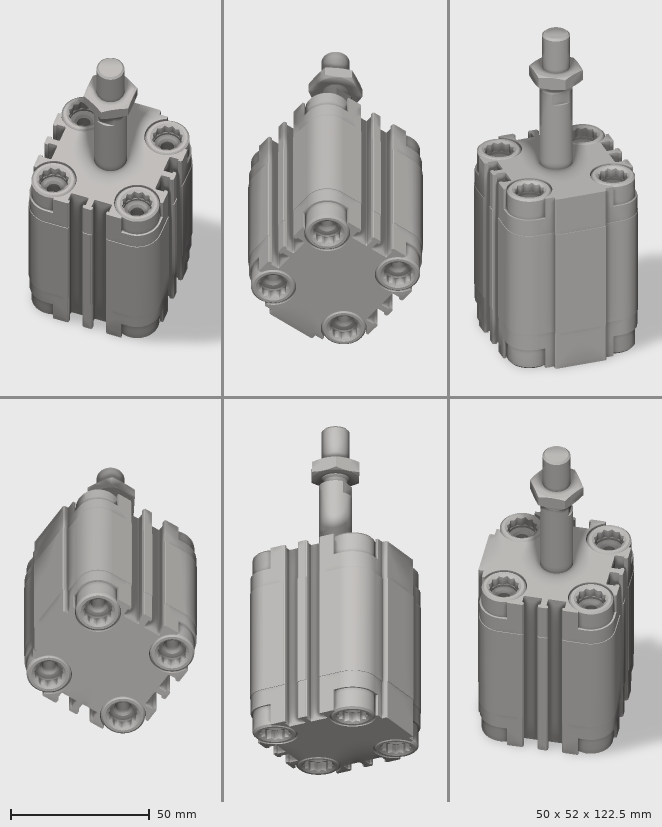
import cadquery as cq
import math

body_width = 50.0
half_width = body_width / 2
overall_depth = 52.0
housing_height = 69.6
cap_height = 14.5
cap_inset = 0.2
middle_height = housing_height - 2 * cap_height
rod_seat = housing_height - cap_height

pad_half_width = 9.8
pad_face = overall_depth - half_width
pad_chamfer = 0.5

slot_rib_half = 1.1
slot_outer_wall = 7.8
mouth_inner = 1.8
mouth_outer = 7.1
lip_depth = 1.7
slot_depth = 5.1
mouth_rounding = 0.4
slot_floor_rounding = 0.4

screw_offset = 15.99
corner_radius = half_width - screw_offset
head_diameter = 16.0
head_chamfer = 0.7
seat_diameter = 16.5
notch_height = 8.1
notch_reach = 12.0
socket_points = 12
socket_outer_diameter = 11.3
socket_inner_diameter = 10.0
socket_mouth_diameter = 12.5
socket_mouth_depth = 0.9
socket_depth = 4.0
socket_floor_depth = 5.0
bolt_hole_diameter = 4.9
bolt_hole_mouth_diameter = 6.6

rod_top = 122.5
rod_diameter = 12.0
shoulder = 100.5
flat_distance = 10.0
flat_height = 4.5
neck_diameter = 8.7
thread_diameter = 10.0
thread_base = 103.3
thread_chamfer = 0.7

nut_sides = 6
nut_base = 103.6
nut_height = 5.0
nut_across_flats = 17.0
nut_face_diameter = 16.7
nut_chamfer_angle = 20.0

screw_centers = [
    (x, y) for x in (-screw_offset, screw_offset) for y in (-screw_offset, screw_offset)
]


def cylinder(diameter, bottom, top):
    return cq.Workplane("XY").workplane(offset=bottom).circle(diameter / 2).extrude(top - bottom)


def cone(bottom_diameter, top_diameter, bottom, top):
    return cq.Workplane(
        cq.Solid.makeCone(bottom_diameter / 2, top_diameter / 2, top - bottom, cq.Vector(0, 0, bottom))
    )


def slot_pair(inset, height):
    """Two T-slots in the -Y side, their mouths rounded into a face set back by the inset."""
    face = -half_width + inset
    beyond = face - slot_depth
    mouth_wall = face + mouth_rounding
    lip_back = -half_width + lip_depth
    floor = -half_width + slot_depth
    slot = (
        cq.Workplane("XY")
        .moveTo(mouth_inner - mouth_rounding, beyond)
        .lineTo(mouth_outer + mouth_rounding, beyond)
        .lineTo(mouth_outer + mouth_rounding, face)
        .radiusArc((mouth_outer, mouth_wall), -mouth_rounding)
        .lineTo(mouth_outer, lip_back)
        .lineTo(slot_outer_wall, lip_back)
        .lineTo(slot_outer_wall, floor)
        .lineTo(slot_rib_half, floor)
        .lineTo(slot_rib_half, lip_back)
        .lineTo(mouth_inner, lip_back)
        .lineTo(mouth_inner, mouth_wall)
        .radiusArc((mouth_inner - mouth_rounding, face), -mouth_rounding)
        .close()
        .extrude(height)
        .faces(">Y").edges("|Z").fillet(slot_floor_rounding)
    )
    return slot.union(slot.mirror("YZ"))


def profile_block(inset, height):
    """Length of housing standing on the XY plane, its outer walls set back by the inset."""
    width = body_width - 2 * inset
    block = (
        cq.Workplane("XY").rect(width, width).extrude(height)
        .edges("|Z").fillet(corner_radius - inset)
    )
    pad_top = pad_face - inset
    pad = (
        cq.Workplane("XY")
        .moveTo(-pad_half_width, 0)
        .lineTo(pad_half_width, 0)
        .lineTo(pad_half_width, pad_top - pad_chamfer)
        .lineTo(pad_half_width - pad_chamfer, pad_top)
        .lineTo(-pad_half_width + pad_chamfer, pad_top)
        .lineTo(-pad_half_width, pad_top - pad_chamfer)
        .close()
        .extrude(height)
    )
    block = block.union(pad)
    slots = slot_pair(inset, height)
    for turn in (-90, 0, 90):
        block = block.cut(slots.rotate((0, 0, 0), (0, 0, 1), turn))
    return block


def screw_head():
    """Solid head at the top of a cap, with its upper rim chamfered."""
    head = cylinder(head_diameter, cap_height - notch_height, cap_height)
    return head.faces(">Z").chamfer(head_chamfer)


def screw_socket():
    """Twelve-point socket, its floor recess and the bolt hole, as one cutter."""
    points = []
    for i in range(2 * socket_points):
        diameter = socket_inner_diameter if i % 2 else socket_outer_diameter
        angle = math.pi * i / socket_points
        points.append((diameter / 2 * math.cos(angle), diameter / 2 * math.sin(angle)))
    star = (
        cq.Workplane("XY").workplane(offset=cap_height - socket_depth)
        .polyline(points).close().extrude(socket_depth)
    )
    mouth = cone(
        socket_inner_diameter, socket_mouth_diameter, cap_height - socket_mouth_depth, cap_height
    )
    floor = cap_height - socket_floor_depth
    recess = cylinder(socket_inner_diameter, floor, cap_height)
    hole_chamfer = (bolt_hole_mouth_diameter - bolt_hole_diameter) / 2
    hole_mouth = cone(bolt_hole_diameter, bolt_hole_mouth_diameter, floor - hole_chamfer, floor)
    hole = cylinder(bolt_hole_diameter, 0, cap_height)
    return star.union(mouth).union(recess).union(hole_mouth).union(hole)


def make_cap():
    """End cap with its seam face on the XY plane and its screw heads at the top."""
    cap = profile_block(cap_inset, cap_height)
    head = screw_head()
    socket = screw_socket()
    seat = cylinder(seat_diameter, cap_height - notch_height, cap_height)
    notch_center = half_width - notch_reach / 2
    for x, y in screw_centers:
        notch = (
            cq.Workplane("XY").workplane(offset=cap_height - notch_height)
            .center(math.copysign(notch_center, x), math.copysign(notch_center, y))
            .rect(notch_reach, notch_reach).extrude(notch_height)
        )
        cap = cap.cut(notch).cut(seat.translate((x, y, 0)))
        cap = cap.union(head.translate((x, y, 0)))
        cap = cap.cut(socket.translate((x, y, 0)))
    return cap


def make_housing():
    """Middle section and both end sections as one solid, bored for the bolts and the rod."""
    middle = profile_block(0, middle_height)
    holes = (
        cq.Workplane("XY").pushPoints(screw_centers)
        .circle(bolt_hole_diameter / 2).extrude(middle_height)
    )
    middle = middle.cut(holes).translate((0, 0, cap_height))
    top_cap = make_cap().translate((0, 0, rod_seat))
    bottom_cap = make_cap().mirror("XY").translate((0, 0, cap_height))
    rod_bore = cylinder(rod_diameter, rod_seat, housing_height)
    return middle.union(top_cap).union(bottom_cap).cut(rod_bore)


def make_nut():
    """Hexagon nut with two flats facing +X and -X, both faces chamfered, on the rod's thread."""
    corner_diameter = nut_across_flats / math.cos(math.pi / nut_sides)
    hexagon = (
        cq.Workplane("XY").workplane(offset=nut_base)
        .polygon(nut_sides, corner_diameter).extrude(nut_height)
        .rotate((0, 0, 0), (0, 0, 1), 180 / nut_sides)
    )
    drop = (corner_diameter - nut_face_diameter) / 2 * math.tan(math.radians(nut_chamfer_angle))
    nut_top = nut_base + nut_height
    envelope = (
        cq.Workplane("XZ")
        .moveTo(0, nut_base)
        .lineTo(nut_face_diameter / 2, nut_base)
        .lineTo(corner_diameter / 2, nut_base + drop)
        .lineTo(corner_diameter / 2, nut_top - drop)
        .lineTo(nut_face_diameter / 2, nut_top)
        .lineTo(0, nut_top)
        .close()
        .revolve(360, (0, 0, 0), (0, 1, 0))
    )
    thread_hole = cylinder(thread_diameter, nut_base, nut_top)
    return hexagon.intersect(envelope).cut(thread_hole)


def make_rod():
    """Rod standing in the housing's bore, with wrench flats, neck and threaded end."""
    shaft = cylinder(rod_diameter, rod_seat, shoulder)
    flat_depth = (rod_diameter - flat_distance) / 2
    for side in (-1, 1):
        flat = cq.Workplane("XY").box(rod_diameter, flat_depth, flat_height).translate(
            (0, side * (flat_distance + flat_depth) / 2, shoulder - flat_height / 2)
        )
        shaft = shaft.cut(flat)
    neck = cylinder(neck_diameter, shoulder, thread_base)
    taper = cone(
        neck_diameter, thread_diameter,
        thread_base - (thread_diameter - neck_diameter) / 2, thread_base,
    )
    thread = cylinder(thread_diameter, thread_base, rod_top).faces(">Z").chamfer(thread_chamfer)
    return shaft.union(neck).union(taper).union(thread)


housing = make_housing()
rod = make_rod()
nut = make_nut()

result = cq.Compound.makeCompound([housing.solids().val(), rod.solids().val(), nut.solids().val()])